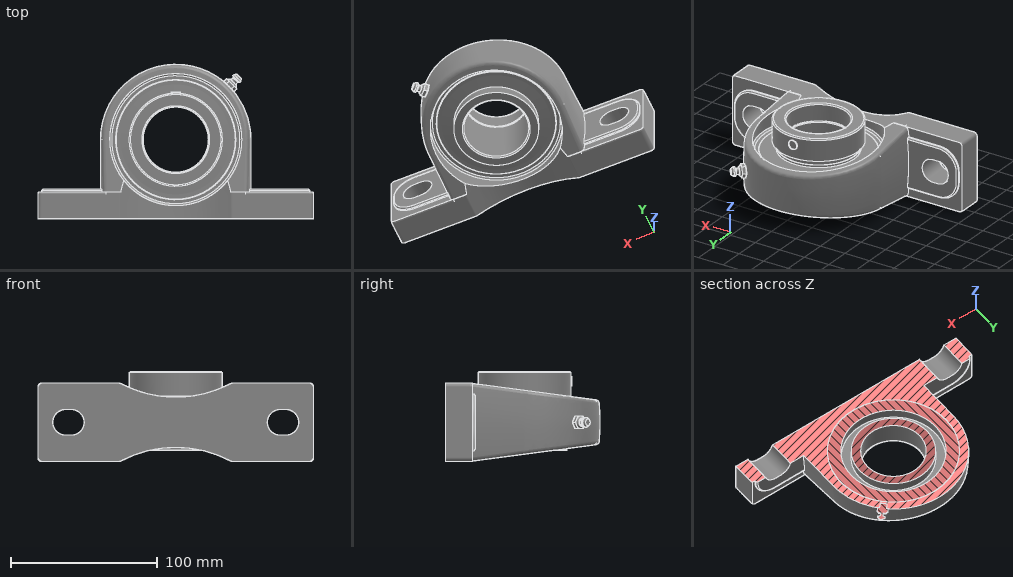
import cadquery as cq
import math


foot_length = 188.0
foot_depth = 53.8
axis_height = 54.0
foot_height = 18.5
foot_corner_radius = 2.8
foot_bevel_height = 1.5
foot_bevel_inset = 0.4
waist_half_width = 38.2
waist_depth = 9.8
waist_corner_radius = 2.3

pad_end = 91.4
pad_width = 39.0
pad_height = 2.0
pad_corner_radius = 15.6
pad_chamfer = 1.1
slot_spacing = 146.3
slot_length = 21.2
slot_width = 17.3

arch_radius = 51.5
crown_radius = 165.5
arch_half_depth = 21.8
plinth_width = 94.8
arch_fillet = 2.8

ring_diameter = 90.0
ring_width = 22.2
seat_lead_in = 1.0
race_bore = 71.5
seal_diameter = 82.0
seal_rim_diameter = 75.0
seal_rim_thickness = 1.9
seal_rise = 0.5
seal_edge_bevel = 0.4
inner_ring_diameter = 57.9
inner_ring_shoulder = 13.5
sleeve_diameter = 50.4
shaft_diameter = 44.4
bore_chamfer = 1.0
inner_ring_bottom = -19.2
inner_ring_top = 21.2

collar_diameter = 63.5
collar_hub_diameter = 57.2
collar_bottom = 17.9
overall_height = 61.7
collar_top = overall_height - foot_depth / 2
collar_chamfer = 1.0
screw_diameter = 6.8
screw_height = 28.0
screw_tip = 32.3
screw_length = 5.3

nipple_angle = 45.0
nipple_stem_diameter = 6.0
nipple_start = 47.0
nipple_hex_flats = 8.6
nipple_hex_start = 51.0
nipple_hex_end = 54.0
nipple_shoulder_end = 55.5
nipple_neck_diameter = 4.5
nipple_neck_end = 57.5
nipple_head_diameter = 6.8
nipple_head_start = 58.3
nipple_head_end = 59.5
nipple_tip_diameter = 4.5
nipple_tip = 61.1

foot_bottom = -axis_height
foot_top = foot_bottom + foot_height


def turned(points):
    """Solid turned about the Z axis from (radius, z) points."""
    return cq.Workplane("XZ").polyline(points).close().revolve(360, (0, 0, 0), (0, 1, 0))


def cylinder(diameter, bottom, top):
    """Cylinder on the Z axis."""
    return cq.Workplane("XY").workplane(offset=bottom).circle(diameter / 2).extrude(top - bottom)


def rising_from(y):
    """Workplane at height y whose normal points to +Y; local x is X and local y is -Z."""
    return cq.Workplane(cq.Plane((0, y, 0), (1, 0, 0), (0, 1, 0)))


def make_foot():
    """Foot plate with rounded corners and a steep bevel along its top edges, except under the arch."""
    bevel_bottom = foot_height - foot_bevel_height
    draft = math.degrees(math.atan2(foot_bevel_inset, foot_bevel_height))
    plate = rising_from(foot_bottom).rect(foot_length, foot_depth).extrude(bevel_bottom)
    plate = plate.edges("|Y").fillet(foot_corner_radius)
    bevel = plate.faces(">Y").wires().toPending().extrude(foot_bevel_height, taper=draft, combine=False)
    plinth = rising_from(foot_bottom).rect(plinth_width, foot_depth).extrude(foot_height)
    return plate.union(bevel).union(plinth)


def make_pads():
    """Raised bolt pads on both ends of the foot, one strip that passes under the arch."""
    return (
        rising_from(foot_top)
        .rect(2 * pad_end, pad_width)
        .extrude(pad_height)
        .edges("|Y")
        .fillet(pad_corner_radius)
        .faces(">Y")
        .chamfer(pad_chamfer)
    )


def make_arch():
    """Barrel-rimmed arch whose flanks spread from the crown to the foot."""
    half_depth = foot_depth / 2
    edge_radius = arch_radius - crown_radius + math.sqrt(crown_radius ** 2 - half_depth ** 2)
    dome = (
        cq.Workplane("XZ")
        .moveTo(0, -half_depth)
        .lineTo(edge_radius, -half_depth)
        .threePointArc((arch_radius, 0), (edge_radius, half_depth))
        .lineTo(0, half_depth)
        .close()
        .revolve(360, (0, 0, 0), (0, 1, 0))
    )
    legs = (
        cq.Workplane("XZ")
        .moveTo(-edge_radius, -half_depth)
        .lineTo(edge_radius, -half_depth)
        .threePointArc((arch_radius, 0), (edge_radius, half_depth))
        .lineTo(-edge_radius, half_depth)
        .threePointArc((-arch_radius, 0), (-edge_radius, -half_depth))
        .close()
        .extrude(abs(foot_top))
    )
    base_half_depth = half_depth - foot_bevel_inset
    flank_slope = (base_half_depth - arch_half_depth) / abs(foot_top)
    top_half_depth = arch_half_depth - flank_slope * arch_radius
    wedge = (
        cq.Workplane("YZ")
        .polyline([
            (foot_top, -base_half_depth),
            (arch_radius, -top_half_depth),
            (arch_radius, top_half_depth),
            (foot_top, base_half_depth),
        ])
        .close()
        .extrude(arch_radius, both=True)
    )
    arch = dome.union(legs).intersect(wedge)
    rim_edges = arch.faces("<Z or >Z").edges("not <Y")
    return rim_edges.fillet(arch_fillet)


def make_waist_cutters():
    """Full-height cutters that narrow the front and back of the foot with a blended arc."""
    radius = (waist_half_width ** 2 + waist_depth ** 2) / (2 * waist_depth)
    half_depth = foot_depth / 2
    center = half_depth - waist_depth + radius
    reach = radius + waist_corner_radius
    blend_level = half_depth - waist_corner_radius
    blend_x = math.sqrt(reach ** 2 - (center - blend_level) ** 2)
    tangent_x = blend_x * radius / reach
    tangent_level = center - (center - blend_level) * radius / reach
    half_angle = math.atan2(blend_x, center - blend_level) / 2
    mid_x = blend_x - waist_corner_radius * math.sin(half_angle)
    mid_level = blend_level + waist_corner_radius * math.cos(half_angle)
    cutters = []
    for side in (1, -1):
        cutter = (
            rising_from(foot_bottom)
            .moveTo(-blend_x, side * half_depth)
            .threePointArc((-mid_x, side * mid_level), (-tangent_x, side * tangent_level))
            .threePointArc((0, side * (half_depth - waist_depth)), (tangent_x, side * tangent_level))
            .threePointArc((mid_x, side * mid_level), (blend_x, side * half_depth))
            .close()
            .extrude(axis_height)
        )
        cutters.append(cutter)
    return cutters


def make_ring_blank():
    """Solid barrel with the spherical outside and flat ends of the outer ring."""
    half_width = ring_width / 2
    ball = cq.Workplane("XY").sphere(ring_diameter / 2)
    return ball.intersect(cylinder(ring_diameter, -half_width, half_width))


def make_bore_cutter(side):
    """Housing bore on one side of the outer ring, with a cone leading down to the ring's end."""
    radius = ring_diameter / 2
    face = ring_width / 2
    ring_end_radius = math.sqrt(radius ** 2 - face ** 2)
    profile = [
        (0, face),
        (ring_end_radius, face),
        (radius, face + seat_lead_in),
        (radius, foot_depth / 2),
        (0, foot_depth / 2),
    ]
    return turned([(r, side * z) for r, z in profile])


def make_housing(nipple):
    """Arch on a waisted foot, with bolt slots, the bearing seat and a hole that fits the nipple."""
    housing = make_arch().union(make_foot()).union(make_pads())
    for cutter in make_waist_cutters():
        housing = housing.cut(cutter)
    slots = (
        rising_from(foot_bottom)
        .pushPoints([(-slot_spacing / 2, 0), (slot_spacing / 2, 0)])
        .slot2D(slot_length, slot_width)
        .extrude(foot_height + pad_height)
    )
    housing = housing.cut(slots).cut(make_ring_blank()).cut(nipple)
    for side in (1, -1):
        housing = housing.cut(make_bore_cutter(side))
    return housing


def make_seal(side):
    """Seal ring at one end of the bearing: a flat rim, then a shallow cone up to the inner ring."""
    face = ring_width / 2
    back = face - seal_rim_thickness
    profile = [
        (inner_ring_diameter / 2, back),
        (seal_diameter / 2, back),
        (seal_diameter / 2, face - seal_edge_bevel),
        (seal_diameter / 2 - seal_edge_bevel, face),
        (seal_rim_diameter / 2, face),
        (inner_ring_diameter / 2, face + seal_rise),
    ]
    return turned([(radius, side * z) for radius, z in profile])


def make_outer_ring(seals):
    """Spherical outer ring with a recess at each end for its seal."""
    half_width = ring_width / 2
    ring = make_ring_blank().cut(cylinder(race_bore, -half_width, half_width))
    for seal in seals:
        ring = ring.cut(seal)
    return ring


def make_inner_ring():
    """Inner ring with a thinner sleeve that the collar sits on."""
    bore = shaft_diameter / 2
    return turned([
        (bore + bore_chamfer, inner_ring_bottom),
        (inner_ring_diameter / 2, inner_ring_bottom),
        (inner_ring_diameter / 2, inner_ring_shoulder),
        (sleeve_diameter / 2, inner_ring_shoulder),
        (sleeve_diameter / 2, inner_ring_top),
        (bore + bore_chamfer, inner_ring_top),
        (bore, inner_ring_top - bore_chamfer),
        (bore, inner_ring_bottom + bore_chamfer),
    ])


def make_set_screw(start):
    """Cylinder along +Y from the given distance off the bearing axis to the screw's outer end."""
    return (
        cq.Workplane(cq.Plane((0, start, screw_height), (1, 0, 0), (0, 1, 0)))
        .circle(screw_diameter / 2)
        .extrude(screw_tip - start)
    )


def make_collar():
    """Locking collar with a recess for the sleeve and a radial hole for the set screw."""
    bore = shaft_diameter / 2
    outer = collar_diameter / 2
    collar = turned([
        (sleeve_diameter / 2, inner_ring_shoulder),
        (collar_hub_diameter / 2, inner_ring_shoulder),
        (collar_hub_diameter / 2, collar_bottom),
        (outer, collar_bottom),
        (outer, collar_top - collar_chamfer),
        (outer - collar_chamfer, collar_top),
        (bore + bore_chamfer, collar_top),
        (bore, collar_top - bore_chamfer),
        (bore, inner_ring_top),
        (sleeve_diameter / 2, inner_ring_top),
    ])
    return collar.cut(make_set_screw(0))


def make_nipple():
    """Grease nipple: stem, hexagon, conical shoulder, neck and tapered head."""
    turned_part = turned([
        (0, nipple_start),
        (nipple_stem_diameter / 2, nipple_start),
        (nipple_stem_diameter / 2, nipple_hex_end),
        (nipple_hex_flats / 2, nipple_hex_end),
        (nipple_stem_diameter / 2, nipple_shoulder_end),
        (nipple_neck_diameter / 2, nipple_shoulder_end),
        (nipple_neck_diameter / 2, nipple_neck_end),
        (nipple_head_diameter / 2, nipple_head_start),
        (nipple_head_diameter / 2, nipple_head_end),
        (nipple_tip_diameter / 2, nipple_tip),
        (0, nipple_tip),
    ])
    hexagon = (
        cq.Workplane("XY")
        .workplane(offset=nipple_hex_start)
        .polygon(6, nipple_hex_flats, circumscribed=True)
        .extrude(nipple_hex_end - nipple_hex_start)
    )
    upright = turned_part.union(hexagon)
    return upright.rotate((0, 0, 0), (0, 1, 0), 90).rotate((0, 0, 0), (0, 0, 1), nipple_angle)


grease_nipple = make_nipple()
housing = make_housing(grease_nipple)
seals = [make_seal(side) for side in (1, -1)]
outer_ring = make_outer_ring(seals)
inner_ring = make_inner_ring()
collar = make_collar()
set_screw = make_set_screw(screw_tip - screw_length)

result = cq.Compound.makeCompound([
    housing.val(),
    outer_ring.val(),
    inner_ring.val(),
    *[seal.val() for seal in seals],
    collar.val(),
    set_screw.val(),
    grease_nipple.val(),
])